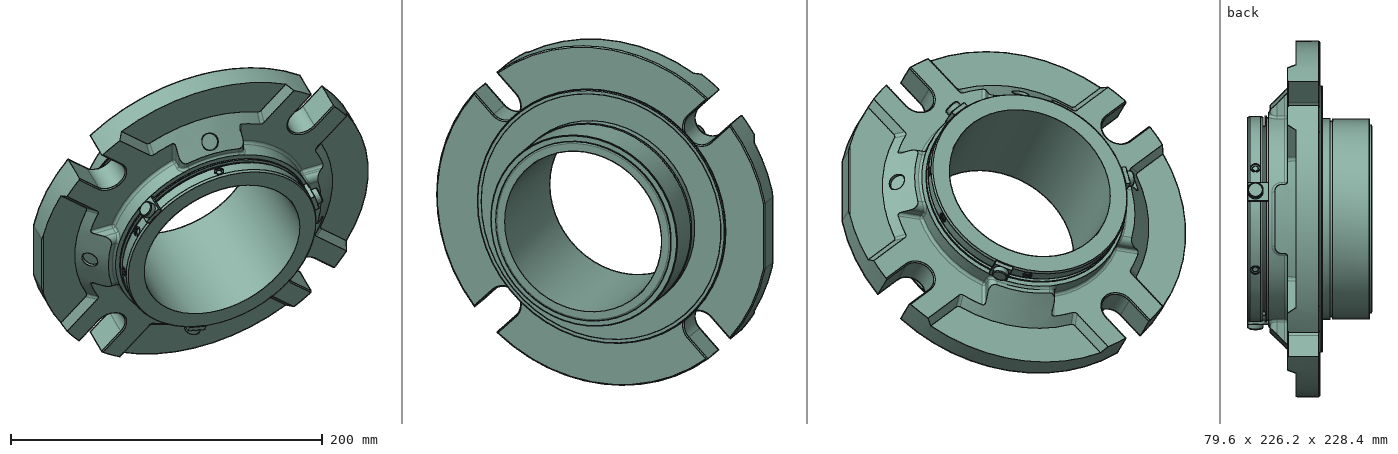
import cadquery as cq
import math


BORE_DIA = 107.95
SLEEVE_DIA = 119.05
NOSE_DIA = 120.62
SPIGOT_DIA = 128.57
SPIGOT_ROOT_DIA = 128.91
GROOVE_DIA = 125.65
TOTAL_LENGTH = 79.63
NOSE_CHAMFER_AXIAL = 0.3
NOSE_CHAMFER_RADIAL = 1.1
SPIGOT_START = 1.4
SPIGOT_CHAMFER = 0.5
GROOVE_START = 25.2
GROOVE_END = 26.8

FACE_START = 31.6
FACE_DIA = 170.8
FACE_CHAMFER = 0.6
GASKET_DIA = 165.1
GASKET_DEPTH = 0.3

FLANGE_DIA = 228.35
FLANGE_START = 33.3
FLANGE_END = 48.7
WIDTH_OVER_FLAT = 226.17
FLAT_DISTANCE = WIDTH_OVER_FLAT - FLANGE_DIA / 2
EDGE_CHAMFER = 0.8
SLOT_WIDTH = 21.66
SLOT_CENTER_RADIUS = 95.0
SLOT_ANGLES = (45, 135, 225, 315)

LUG_TOP = 54.1
LUG_BASE_WIDTH = 59.4
LUG_TOP_WIDTH = 51.6
LUG_FILLET = 3.0

HUB_DIA = 136.6
HUB_END = 66.4
HUB_FILLET = 1.9
CONE_FOOT_RADIUS = 89.4
BOSS_WIDTH = 44.4
BOSS_CORNER_RADIUS = 4.5
BOSS_END = 65.2
SHORT_BOSS_END = 62.2
BOSSES = ((0, SHORT_BOSS_END), (90, BOSS_END), (180, BOSS_END), (270, BOSS_END))
PORT_DIA = 11.0
PORT_DEPTH = 2.0
PORTS = ((90, 59.6), (180, 56.1))

SHOULDER_DIA = 130.12
DISC_DIA = 132.0
DISC_START = 67.4
DISC_END = 68.5

COLLAR_DIA = 131.65
COLLAR_EDGE_DIA = 130.12
COLLAR_START = 69.7
COLLAR_BEVEL = 1.6
SET_SCREW_ANGLES = (30, 90, 150, 180, 210, 270, 330)
SET_SCREW_DIA = 6.0
SET_SCREW_RECESS = 0.9
SOCKET_DIA = 3.76
SOCKET_DEPTH = 0.5

CLIP_ANGLES = (15, 135, 255)
CLIP_WIDTH = 12.0
CLIP_INNER_RADIUS = 65.4
CLIP_OUTER_RADIUS = 68.3
CLIP_SEAT_DEPTH = 3.0
CAP_HEAD_DIA = 10.0
SCREW_X = TOTAL_LENGTH - CAP_HEAD_DIA / 2
CAP_SHANK_DIA = 6.0
CAP_HEAD_TOP = 72.4
CAP_HEAD_CHAMFER = 0.6

OVERLAP = 1.0
TOLERANCE = 0.01


def turned(x_start, x_end, diameter):
    """Solid cylinder on the X axis."""
    return cq.Workplane("YZ", origin=(x_start, 0, 0)).circle(diameter / 2).extrude(x_end - x_start)


def about_x(body, angle):
    """Turn a body built in the +Y direction about the X axis."""
    return body.rotate((0, 0, 0), (1, 0, 0), angle)


def radial_pin(x, r_start, r_end, diameter):
    """Cylinder pointing along +Y."""
    plane = cq.Plane(origin=(x, r_start, 0), xDir=(1, 0, 0), normal=(0, 1, 0))
    return cq.Workplane(plane).circle(diameter / 2).extrude(r_end - r_start)


def make_sleeve():
    body = turned(SPIGOT_START, TOTAL_LENGTH, SLEEVE_DIA)
    nose_radius = NOSE_DIA / 2
    nose = (
        cq.Workplane("XY")
        .polyline([
            (0, 0),
            (0, nose_radius - NOSE_CHAMFER_RADIAL),
            (NOSE_CHAMFER_AXIAL, nose_radius),
            (SPIGOT_START, nose_radius),
            (SPIGOT_START, 0),
        ])
        .close()
        .revolve(360, (0, 0, 0), (1, 0, 0))
    )
    spigot = turned(SPIGOT_START, GROOVE_START, SPIGOT_DIA).faces("<X").chamfer(SPIGOT_CHAMFER)
    groove = turned(GROOVE_START, GROOVE_END, GROOVE_DIA)
    root = turned(GROOVE_END, FLANGE_START, SPIGOT_ROOT_DIA)
    return body.union(nose).union(spigot).union(groove).union(root)


def make_raised_face():
    face = turned(FACE_START, FLANGE_START, FACE_DIA).faces("<X").chamfer(FACE_CHAMFER)
    return face.cut(turned(FACE_START, FACE_START + GASKET_DEPTH, GASKET_DIA))


def make_slot(x_start, x_end, width=SLOT_WIDTH):
    """Open-ended slot running outwards along +Y with a round inner end."""
    length = FLANGE_DIA / 2
    round_end = (
        cq.Workplane("YZ", origin=(x_start, SLOT_CENTER_RADIUS, 0))
        .circle(width / 2)
        .extrude(x_end - x_start)
    )
    channel = cq.Workplane("XY").box(
        x_end - x_start, length, width, centered=(False, False, True)
    )
    return round_end.union(channel.translate((x_start, SLOT_CENTER_RADIUS, 0)))


def make_slot_mouth():
    """Flared end of the slot that bevels its edges at the lug top."""
    mouth = make_slot(LUG_TOP - EDGE_CHAMFER, LUG_TOP + OVERLAP, SLOT_WIDTH + 2 * EDGE_CHAMFER)
    return mouth.faces("<X").edges().chamfer(EDGE_CHAMFER)


def trim_flat(body):
    """Remove everything beyond the flat on the -Y side of the flange."""
    beyond = cq.Workplane("XY").box(TOTAL_LENGTH, FLANGE_DIA, FLANGE_DIA, centered=(False, False, True))
    return body.cut(beyond.translate((0, -FLAT_DISTANCE - FLANGE_DIA, 0)))


def make_flange():
    plate = trim_flat(turned(FLANGE_START, FLANGE_END, FLANGE_DIA))
    plate = plate.edges("|Z and <Y").edges(">X").chamfer(EDGE_CHAMFER)
    for angle in SLOT_ANGLES:
        plate = plate.cut(about_x(make_slot(FLANGE_START, FLANGE_END), angle))
    return plate.faces("<X").edges().chamfer(EDGE_CHAMFER)


def make_lug():
    """Lug along +Y whose two flanks slope in towards its top."""
    slope = (LUG_BASE_WIDTH - LUG_TOP_WIDTH) / (LUG_TOP - FLANGE_END)
    root_width = LUG_BASE_WIDTH + slope * OVERLAP
    wedge = (
        cq.Workplane("XZ")
        .polyline([
            (FLANGE_END - OVERLAP, -root_width / 2),
            (LUG_TOP, -LUG_TOP_WIDTH / 2),
            (LUG_TOP, LUG_TOP_WIDTH / 2),
            (FLANGE_END - OVERLAP, root_width / 2),
        ])
        .close()
        .extrude(-FLANGE_DIA / 2)
    )
    return wedge.intersect(turned(FLANGE_END - OVERLAP, LUG_TOP, FLANGE_DIA))


def cone_radius(x):
    """Radius of the 45 degree cone that carries the ports."""
    return CONE_FOOT_RADIUS - (x - FLANGE_END)


def make_cone():
    """Full 45 degree cone from the flange to the end of the hub."""
    return (
        cq.Workplane("XY")
        .polyline([
            (FLANGE_END, 0),
            (FLANGE_END, CONE_FOOT_RADIUS),
            (HUB_END, cone_radius(HUB_END)),
            (HUB_END, 0),
        ])
        .close()
        .revolve(360, (0, 0, 0), (1, 0, 0))
    )


def is_hub_corner(edge):
    """True for the inner corners between foot, hub cylinder and bosses."""
    center = edge.Center()
    reach = math.hypot(center.y, center.z)
    on_end = abs(center.x - TOTAL_LENGTH) < TOLERANCE
    if on_end or center.x < LUG_TOP - TOLERANCE:
        return False
    if edge.geomType() == "LINE" and abs(center.x - LUG_TOP) < TOLERANCE:
        return reach < CONE_FOOT_RADIUS
    start = edge.startPoint()
    return abs(math.hypot(start.y, start.z) - HUB_DIA / 2) < TOLERANCE


def make_hub():
    """Foot, hub cylinder and four bosses, blended together and then turned to the cone."""
    hub = turned(FLANGE_END, LUG_TOP, FLANGE_DIA).union(turned(LUG_TOP, TOTAL_LENGTH, HUB_DIA))
    for angle, boss_end in BOSSES:
        block = cq.Workplane("XY").box(
            boss_end - FLANGE_END, CONE_FOOT_RADIUS, BOSS_WIDTH, centered=(False, False, True)
        )
        block = block.translate((FLANGE_END, 0, 0)).edges("|Y and >X").fillet(BOSS_CORNER_RADIUS)
        hub = hub.union(about_x(block, angle))
    corners = [edge for edge in hub.edges().vals() if is_hub_corner(edge)]
    return hub.newObject(corners).fillet(HUB_FILLET).intersect(make_cone())


def is_lug_root(edge):
    """True for the corners where a lug flank meets the conical foot."""
    center = edge.Center()
    on_foot = math.hypot(center.y, center.z) < CONE_FOOT_RADIUS
    return on_foot and FLANGE_END + TOLERANCE < center.x < LUG_TOP - TOLERANCE


def make_foot_with_lugs():
    """Conical foot and the four lugs, blended together, up to the lug top."""
    foot = make_cone().intersect(turned(FLANGE_END, LUG_TOP, FLANGE_DIA))
    for angle in SLOT_ANGLES:
        foot = foot.union(about_x(make_lug(), angle))
    foot = foot.intersect(turned(FLANGE_END, LUG_TOP, FLANGE_DIA))
    roots = [edge for edge in foot.edges().vals() if is_lug_root(edge)]
    return foot.newObject(roots).fillet(LUG_FILLET)


def make_port(x):
    """Blind hole square to the cone, along the +Y direction."""
    plane = cq.Plane(origin=(x, cone_radius(x), 0), xDir=(0, 0, 1), normal=(-1, -1, 0))
    return cq.Workplane(plane).circle(PORT_DIA / 2).extrude(PORT_DEPTH, both=True)


def make_collar():
    radius = COLLAR_DIA / 2
    edge_radius = COLLAR_EDGE_DIA / 2
    collar = (
        cq.Workplane("XY")
        .polyline([
            (COLLAR_START, 0),
            (COLLAR_START, edge_radius),
            (COLLAR_START + COLLAR_BEVEL, radius),
            (TOTAL_LENGTH - COLLAR_BEVEL, radius),
            (TOTAL_LENGTH, edge_radius),
            (TOTAL_LENGTH, 0),
        ])
        .close()
        .revolve(360, (0, 0, 0), (1, 0, 0))
    )
    recess_floor = radius - SET_SCREW_RECESS
    recess = radial_pin(SCREW_X, recess_floor, radius + OVERLAP, SET_SCREW_DIA)
    socket = radial_pin(SCREW_X, recess_floor - SOCKET_DEPTH, radius, SOCKET_DIA)
    for angle in SET_SCREW_ANGLES:
        collar = collar.cut(about_x(recess.union(socket), angle))
    return collar


def make_disc():
    shoulder = turned(HUB_END, DISC_START, SHOULDER_DIA)
    return shoulder.union(turned(DISC_START, DISC_END, DISC_DIA))


def make_clip():
    """Setting clip plate along +Y, seated in the collar, with its cap screw."""
    plate = cq.Workplane("XY").box(
        TOTAL_LENGTH - HUB_END,
        CLIP_OUTER_RADIUS - CLIP_INNER_RADIUS,
        CLIP_WIDTH,
        centered=(False, False, True),
    ).translate((HUB_END, CLIP_INNER_RADIUS, 0))
    head = radial_pin(SCREW_X, CLIP_OUTER_RADIUS, CAP_HEAD_TOP, CAP_HEAD_DIA)
    head = head.faces(">Y").chamfer(CAP_HEAD_CHAMFER)
    shank = radial_pin(SCREW_X, CLIP_INNER_RADIUS - CLIP_SEAT_DEPTH, CLIP_OUTER_RADIUS, CAP_SHANK_DIA)
    return plate.union(head).union(shank)


def make_part():
    gland = make_flange().union(make_foot_with_lugs()).union(make_hub())
    gland = trim_flat(gland)
    for angle in SLOT_ANGLES:
        gland = gland.cut(about_x(make_slot(FLANGE_START, LUG_TOP), angle))
        gland = gland.cut(about_x(make_slot_mouth(), angle))
    for angle, x in PORTS:
        gland = gland.cut(about_x(make_port(x), angle))
    part = gland.union(make_raised_face()).union(make_sleeve()).union(make_disc()).union(make_collar())
    for angle in CLIP_ANGLES:
        part = part.union(about_x(make_clip(), angle))
    return part.cut(turned(0, TOTAL_LENGTH, BORE_DIA))


result = make_part()